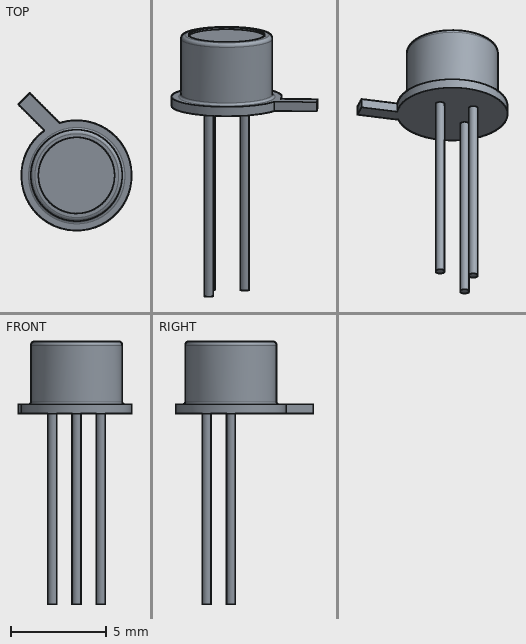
import cadquery as cq

flange_diameter = 5.8
flange_thickness = 0.5

cap_diameter = 4.8
overall_height = 13.8
top_round = 0.2
base_fillet = 0.13
recess_diameter = 4.0
recess_depth = 0.1

lead_diameter = 0.48
lead_length = 10.0
lead_circle_radius = 1.27
lead_angles = (180, 270, 0)

tab_angle = 135
tab_width = 0.85
tab_offset = 0.9
tab_reach = 4.80

flange_radius = flange_diameter / 2
cap_radius = cap_diameter / 2
cap_top = overall_height - lead_length


def make_header_and_cap():
    """Flange and cap as one revolved profile, with the rounds at the cap's top and foot."""
    top_edge = cap_radius - top_round
    foot_edge = cap_radius + base_fillet
    profile = (
        cq.Workplane("XZ")
        .lineTo(flange_radius, 0)
        .lineTo(flange_radius, flange_thickness)
        .lineTo(foot_edge, flange_thickness)
        .radiusArc((cap_radius, flange_thickness + base_fillet), base_fillet)
        .lineTo(cap_radius, cap_top - top_round)
        .radiusArc((top_edge, cap_top), -top_round)
        .lineTo(recess_diameter / 2, cap_top)
        .lineTo(recess_diameter / 2, cap_top - recess_depth)
        .lineTo(0, cap_top - recess_depth)
        .close()
    )
    return profile.revolve(360, (0, 0, 0), (0, 1, 0))


def make_tab():
    """Flat bar in the plane of the flange, rooted inside the flange."""
    return (
        cq.Workplane("XY")
        .center(tab_reach / 2, -tab_offset)
        .rect(tab_reach, tab_width)
        .extrude(flange_thickness)
        .rotate((0, 0, 0), (0, 0, 1), tab_angle)
    )


def make_lead(angle):
    """Round lead hanging from the flange underside."""
    return (
        cq.Workplane("XY")
        .center(lead_circle_radius, 0)
        .circle(lead_diameter / 2)
        .extrude(-lead_length)
        .rotate((0, 0, 0), (0, 0, 1), angle)
    )


result = make_header_and_cap().union(make_tab())
for lead_angle in lead_angles:
    result = result.union(make_lead(lead_angle))